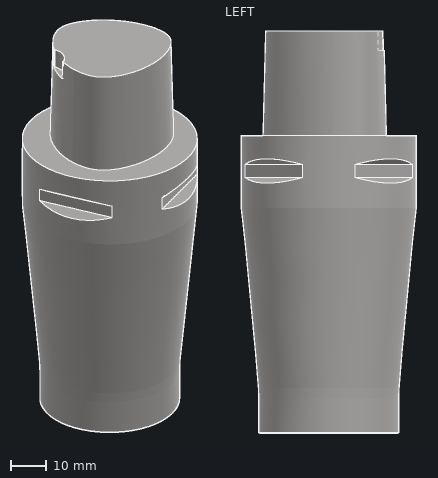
import cadquery as cq
import math

total_height = 115.0
shank_base = 85.1
flange_base = 64.3
collar_top = 13.0
tail_top = 10.0

flange_diameter = 50.0
collar_diameter = 40.2
tail_diameter = 40.0
tail_chamfer = 0.3

shank_base_diameter = 35.3
shank_taper = 1 / 20
lobe_offset = 1.2
flank_half_angle = math.radians(23)
spline_steps = 8

groove_count = 4
groove_first_angle = 45
groove_height = 75.0
groove_floor_width = 3.7
groove_floor_radius = 22.2
groove_wall_angle = math.radians(30)

notch_depth = 5.6
notch_width = 7.2
notch_inner_y = -14.0
notch_arc_rise = 1.3


def turned_body():
    """Tail, collar, long cone and flange as one revolved profile."""
    flange_radius = flange_diameter / 2
    tail_radius = tail_diameter / 2
    return (
        cq.Workplane("XZ")
        .moveTo(0, 0)
        .lineTo(tail_radius - tail_chamfer, 0)
        .lineTo(tail_radius, tail_chamfer)
        .lineTo(tail_radius, tail_top)
        .lineTo(collar_diameter / 2, collar_top)
        .lineTo(flange_radius, flange_base)
        .lineTo(flange_radius, shank_base)
        .lineTo(0, shank_base)
        .close()
        .revolve(360, (0, 0), (0, 1))
    )


def lobe_point(angle, diameter, height):
    """Point on the constant-width outline; angle 0 is the middle of the -Y flank."""
    radius = diameter / 2
    outward = (
        radius * math.cos(angle)
        - 2 * lobe_offset * math.cos(2 * angle)
        + lobe_offset * math.cos(4 * angle)
    )
    sideways = (
        radius * math.sin(angle)
        + 2 * lobe_offset * math.sin(2 * angle)
        + lobe_offset * math.sin(4 * angle)
    )
    return cq.Vector(sideways, -outward, height)


def outline_piece(start, end, diameter, height):
    """Smooth edge between two outline angles, tangent to its neighbours."""
    step = (end - start) / spline_steps
    points = [lobe_point(start + i * step, diameter, height) for i in range(spline_steps + 1)]
    tangents = [cq.Vector(math.cos(a), math.sin(a), 0) for a in (start, end)]
    return cq.Edge.makeSpline(points, tangents=tangents)


def shank_outline(diameter, height):
    """Closed outline of three flat flanks alternating with three lobes."""
    third = 2 * math.pi / 3
    edges = []
    for i in range(3):
        flank_start = i * third - flank_half_angle
        flank_end = i * third + flank_half_angle
        next_flank = flank_start + third
        edges.append(outline_piece(flank_start, flank_end, diameter, height))
        edges.append(outline_piece(flank_end, next_flank, diameter, height))
    return cq.Wire.assembleEdges(edges)


def shank():
    """Tapered polygon shank standing on the flange."""
    top_diameter = shank_base_diameter - shank_taper * (total_height - shank_base)
    base = shank_outline(shank_base_diameter, shank_base)
    top = shank_outline(top_diameter, total_height)
    return cq.Workplane(cq.Solid.makeLoft([base, top], True))


def notch():
    """Round-backed notch open at the shank top and on the -Y flank."""
    half_width = notch_width / 2
    arc_end_y = notch_inner_y - notch_arc_rise
    outer_y = -shank_base_diameter / 2
    return (
        cq.Workplane("XY", origin=(0, 0, total_height - notch_depth))
        .moveTo(-half_width, outer_y)
        .lineTo(-half_width, arc_end_y)
        .threePointArc((0, notch_inner_y), (half_width, arc_end_y))
        .lineTo(half_width, outer_y)
        .close()
        .extrude(notch_depth)
    )


def gripper_groove(angle):
    """Straight groove with a flat floor and sloping walls, at an angle from +X."""
    outer_radius = flange_diameter / 2 + 1.2
    floor_half = groove_floor_width / 2
    mouth_half = floor_half + (outer_radius - groove_floor_radius) * math.tan(groove_wall_angle)
    return (
        cq.Workplane("XZ", origin=(0, 0, groove_height))
        .moveTo(groove_floor_radius, -floor_half)
        .lineTo(outer_radius, -mouth_half)
        .lineTo(outer_radius, mouth_half)
        .lineTo(groove_floor_radius, floor_half)
        .close()
        .extrude(flange_diameter / 2, both=True)
        .rotate((0, 0, 0), (0, 0, 1), angle)
    )


result = turned_body().union(shank()).cut(notch())
for index in range(groove_count):
    result = result.cut(gripper_groove(groove_first_angle + index * 360 / groove_count))